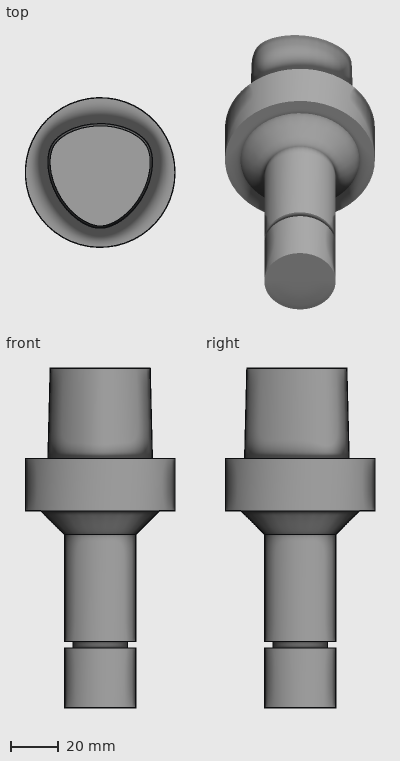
import cadquery as cq
import math

total_height = 143.0
nut_height = 25.3
gap_height = 2.6
cone_height = 10.0
flange_height = 22.0
taper_height = 38.0

body_diameter = 30.0
neck_diameter = 23.0
flange_diameter = 63.0

taper_base_radius = 22.0
taper_ratio = 1 / 20
lobe_eccentricity = 1.5

flange_top = total_height - taper_height
flange_bottom = flange_top - flange_height
cone_bottom = flange_bottom - cone_height
body_bottom = nut_height + gap_height
taper_tip_radius = taper_base_radius - taper_ratio * taper_height / 2
cone_top_radius = body_diameter / 2 + cone_height


def lobed_outline(mean_radius):
    """Constant-width three-lobed curve with one lobe pointing to -Y."""

    def point(t):
        angle = 2 * math.pi * t
        along_lobe = (
            mean_radius * math.cos(angle)
            - 2 * lobe_eccentricity * math.cos(2 * angle)
            + lobe_eccentricity * math.cos(4 * angle)
        )
        across_lobe = (
            mean_radius * math.sin(angle)
            + 2 * lobe_eccentricity * math.sin(2 * angle)
            + lobe_eccentricity * math.sin(4 * angle)
        )
        return -across_lobe, along_lobe

    return point


def make_taper():
    """Three-lobed shank that narrows toward its tip."""
    return (
        cq.Workplane("XY", origin=(0, 0, flange_top))
        .parametricCurve(lobed_outline(taper_base_radius))
        .workplane(offset=taper_height)
        .parametricCurve(lobed_outline(taper_tip_radius))
        .loft(ruled=True)
    )


def make_holder():
    """Neck, cylindrical body, cone and flange, carrying the taper shank."""
    profile = [
        (0, nut_height),
        (neck_diameter / 2, nut_height),
        (neck_diameter / 2, body_bottom),
        (body_diameter / 2, body_bottom),
        (body_diameter / 2, cone_bottom),
        (cone_top_radius, flange_bottom),
        (flange_diameter / 2, flange_bottom),
        (flange_diameter / 2, flange_top),
        (0, flange_top),
    ]
    turned = cq.Workplane("XZ").polyline(profile).close().revolve(360, (0, 0, 0), (0, 1, 0))
    return turned.union(make_taper())


def make_nut():
    """Plain cylindrical end nut, seated against the end of the neck."""
    return cq.Workplane("XY").circle(body_diameter / 2).extrude(nut_height)


holder = make_holder()
nut = make_nut()

result = cq.Compound.makeCompound([holder.solids().val(), nut.val()])